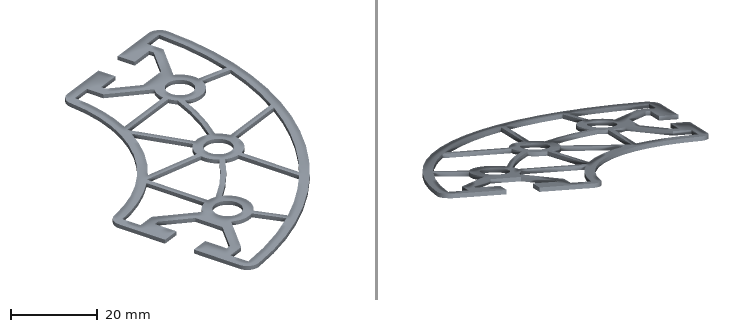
import cadquery as cq
import math

size = 79.9
thickness = 1.0
corner_radius = 3.2
outer_radius = math.hypot(size - corner_radius, corner_radius) + corner_radius
inner_radius = 40.1
mid_radius = (size + inner_radius) / 2
wall = 2.5
rib_width = 1.35

hub_radius = 6.0
hole_radius = 3.5
hub_depth = 20.0
mid_hub = mid_radius * math.sqrt(0.5)
hub_points = [(hub_depth, mid_radius), (mid_hub, mid_hub), (mid_radius, hub_depth)]

slot_half_opening = 4.0
slot_half_width = 10.0
lip_depth = 4.7
slot_straight_depth = 6.0
slot_depth = 12.2
slot_back_half_width = slot_half_width - (slot_depth - slot_straight_depth)


def sector(face_inset, inner, outer):
    """Quarter ring whose two end faces are set in from the X and Y axes."""
    inner_end = math.sqrt(inner**2 - face_inset**2)
    outer_end = math.sqrt(outer**2 - face_inset**2)
    diagonal = math.sqrt(0.5)
    return (
        cq.Workplane("XY")
        .moveTo(face_inset, inner_end)
        .lineTo(face_inset, outer_end)
        .threePointArc((outer * diagonal, outer * diagonal), (outer_end, face_inset))
        .lineTo(inner_end, face_inset)
        .threePointArc((inner * diagonal, inner * diagonal), (face_inset, inner_end))
        .close()
        .extrude(thickness)
    )


def straight_rib(start, end):
    """Rib of constant width centred on the line from start to end."""
    dx = end[0] - start[0]
    dy = end[1] - start[1]
    return (
        cq.Workplane("XY")
        .rect(math.hypot(dx, dy), rib_width)
        .extrude(thickness)
        .rotate((0, 0, 0), (0, 0, 1), math.degrees(math.atan2(dy, dx)))
        .translate(((start[0] + end[0]) / 2, (start[1] + end[1]) / 2, 0))
    )


def end_block(half_outline):
    """Prism symmetric about the slot centreline, from (depth, half width) points."""
    upper = [(depth, mid_radius + half) for depth, half in half_outline]
    lower = [(depth, mid_radius - half) for depth, half in reversed(half_outline)]
    return cq.Workplane("XY").polyline(upper + lower).close().extrude(thickness)


def swap_xy(body):
    """Reflect a body across the line x = y."""
    return body.mirror("YZ").rotate((0, 0, 0), (0, 0, 1), -90)


envelope = sector(0, inner_radius, outer_radius).edges("|Z").fillet(corner_radius)
frame = envelope.cut(sector(wall, inner_radius + wall, outer_radius - wall))

slot_outline = [
    (0, slot_half_opening),
    (lip_depth, slot_half_opening),
    (lip_depth, slot_half_width),
    (slot_straight_depth, slot_half_width),
    (slot_depth, slot_back_half_width),
]
housing_half_width = slot_half_width + wall
flank_start = slot_straight_depth + wall * math.tan(math.radians(22.5))
flank_length = housing_half_width - slot_back_half_width
housing_outline = [
    (0, housing_half_width),
    (flank_start, housing_half_width),
    (flank_start + flank_length, slot_back_half_width),
]
housing = end_block(housing_outline)
slot = end_block(slot_outline)

rim_mid_inner = inner_radius + wall / 2
rim_mid_outer = outer_radius - wall / 2
inner_joint = (hub_depth, math.sqrt(rim_mid_inner**2 - hub_depth**2))
outer_joint = (mid_hub, math.sqrt(rim_mid_outer**2 - mid_hub**2))
radial_scale = rim_mid_outer / math.hypot(*hub_points[0])
radial_joint = (hub_depth * radial_scale, mid_radius * radial_scale)
ribs = [
    straight_rib(hub_points[0], inner_joint),
    straight_rib(hub_points[0], radial_joint),
    straight_rib(hub_points[1], inner_joint),
    straight_rib(hub_points[1], outer_joint),
]

for member in [housing] + ribs:
    frame = frame.union(member).union(swap_xy(member))

rib_span = cq.Workplane("XY").rect(size, size, centered=False).extrude(thickness)
rib_span = rib_span.translate((hub_depth, hub_depth, 0))
curved_rib = sector(0, mid_radius - rib_width / 2, mid_radius + rib_width / 2)
frame = frame.union(curved_rib.intersect(rib_span))

hubs = cq.Workplane("XY").pushPoints(hub_points).circle(hub_radius).extrude(thickness)
holes = cq.Workplane("XY").pushPoints(hub_points).circle(hole_radius).extrude(thickness)
result = frame.union(hubs).cut(holes).cut(slot).cut(swap_xy(slot))